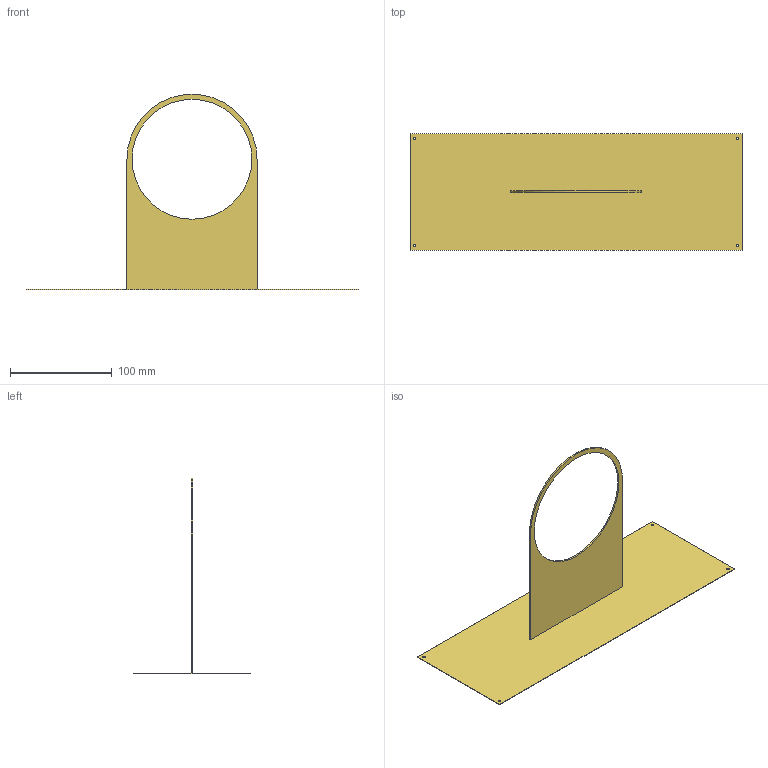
import cadquery as cq

ring_hole_diameter = 117.51
ring_wall = 5.0
panel_width = ring_hole_diameter + 2 * ring_wall
panel_thickness = 1.54

base_side_margin = 99.0
base_length = panel_width + 2 * base_side_margin
base_depth = 114.0
base_thickness = 0.45

mount_hole_diameter = 2.2
mount_hole_inset = 4.5

ring_center_z = base_thickness + panel_width


def make_base():
    """Thin rectangular plate on Z = 0 with a mounting hole near each corner."""
    plate = cq.Workplane("XY").box(base_length, base_depth, base_thickness, centered=(True, True, False))
    return (
        plate.faces(">Z")
        .workplane()
        .rect(base_length - 2 * mount_hole_inset, base_depth - 2 * mount_hole_inset, forConstruction=True)
        .vertices()
        .hole(mount_hole_diameter)
    )


def make_panel():
    """Round-topped panel standing across the middle of the base, with a large round opening."""
    half_width = panel_width / 2
    outline = (
        cq.Workplane("XZ")
        .moveTo(-half_width, 0)
        .lineTo(half_width, 0)
        .lineTo(half_width, ring_center_z)
        .threePointArc((0, ring_center_z + half_width), (-half_width, ring_center_z))
        .close()
        .extrude(panel_thickness / 2, both=True)
    )
    opening = (
        cq.Workplane("XZ")
        .center(0, ring_center_z)
        .circle(ring_hole_diameter / 2)
        .extrude(panel_thickness / 2, both=True)
    )
    return outline.cut(opening)


result = make_base().union(make_panel())